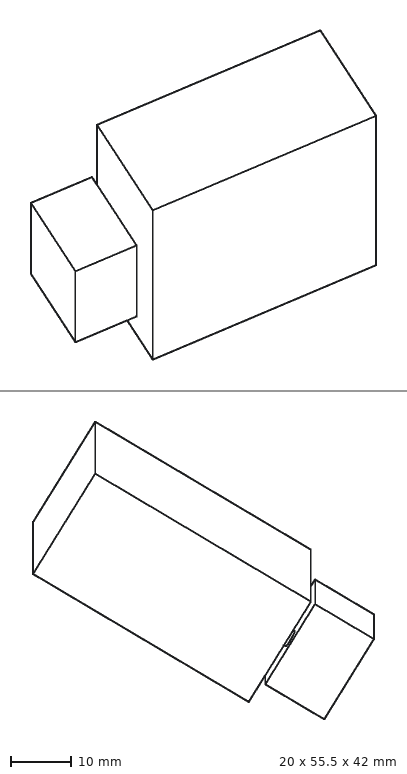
import cadquery as cq

body_width = 20.0
body_side = 42.0

overall_length = 55.5
block_gap = 2.0
block_width = 16.0
block_height = 20.0
block_depth = overall_length - body_side - block_gap

pin_diameter = 3.0
pin_drop = 5.5


def make_body():
    return cq.Workplane("XY").box(body_width, body_side, body_side).translate((0, body_side / 2, 0))


def make_block():
    block_center_y = -block_gap - block_depth / 2
    return cq.Workplane("XY").box(block_width, block_depth, block_height).translate((0, block_center_y, 0))


def make_pin():
    return cq.Workplane("XZ").center(0, -pin_drop).circle(pin_diameter / 2).extrude(block_gap)


result = make_body().union(make_pin()).union(make_block())